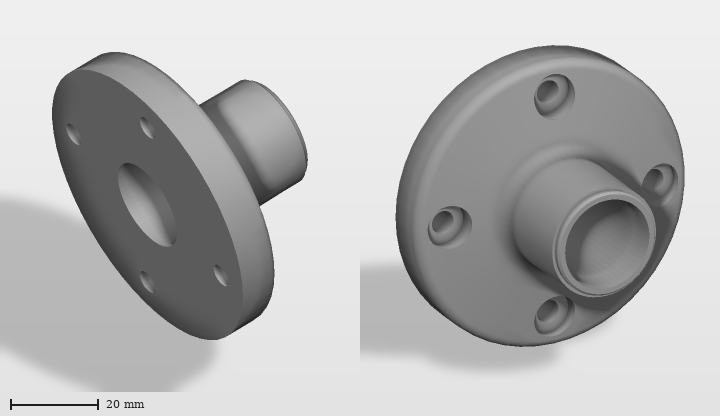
import cadquery as cq
import math

flange_radius = 35.0
rim_height = 8.0
rim_round = 2.45
cone_angle = math.radians(10)

total_length = 37.0
neck_base_y = 16.65
neck_base_radius = 13.65
neck_end_y = 35.5
neck_end_radius = 13.4
spigot_radius = 12.6
spigot_chamfer = 0.5
bore_radius = 10.85

bolt_count = 4
bolt_circle_radius = 27.0
bolt_hole_radius = 2.8
counterbore_radius = 5.25
counterbore_floor_y = rim_height


def arc_point(center, radius, angle):
    """Point on a circle in the half-section, as (distance from axis, Y)."""
    return (center[0] + radius * math.cos(angle), center[1] + radius * math.sin(angle))


def make_body():
    """Revolve the half-section around Y, with the flange face at Y = 0."""
    rim_center = (flange_radius - rim_round, rim_height)
    cone_normal = math.pi / 2 - cone_angle
    rim_mid = arc_point(rim_center, rim_round, cone_normal / 2)
    cone_outer = arc_point(rim_center, rim_round, cone_normal)

    taper = math.atan((neck_base_radius - neck_end_radius) / (neck_end_y - neck_base_y))
    neck_normal = math.pi + taper
    cone_contact = cone_normal + math.pi
    cone_gap = (
        (neck_base_radius - cone_outer[0]) * math.cos(cone_normal)
        + (neck_base_y - cone_outer[1]) * math.sin(cone_normal)
    )
    neck_round = cone_gap / (1 - math.cos(cone_contact - neck_normal))
    neck_center = arc_point((neck_base_radius, neck_base_y), -neck_round, neck_normal)
    neck_mid = arc_point(neck_center, neck_round, (neck_normal + cone_contact) / 2)
    cone_inner = arc_point(neck_center, neck_round, cone_contact)

    section = (
        cq.Workplane("XY")
        .moveTo(bore_radius, 0)
        .lineTo(flange_radius, 0)
        .lineTo(flange_radius, rim_height)
        .threePointArc(rim_mid, cone_outer)
        .lineTo(*cone_inner)
        .threePointArc(neck_mid, (neck_base_radius, neck_base_y))
        .lineTo(neck_end_radius, neck_end_y)
        .lineTo(spigot_radius, neck_end_y)
        .lineTo(spigot_radius, total_length - spigot_chamfer)
        .lineTo(spigot_radius - spigot_chamfer, total_length)
        .lineTo(bore_radius, total_length)
        .close()
    )
    return section.revolve(360, (0, 0, 0), (0, 1, 0))


def hole_cutter(x, z, radius, start_y):
    """Cylinder along +Y that starts at start_y and clears the back of the part."""
    return cq.Workplane(
        cq.Solid.makeCylinder(
            radius, total_length - start_y, cq.Vector(x, start_y, z), cq.Vector(0, 1, 0)
        )
    )


result = make_body()
for index in range(bolt_count):
    angle = 2 * math.pi * index / bolt_count
    x = bolt_circle_radius * math.cos(angle)
    z = bolt_circle_radius * math.sin(angle)
    result = result.cut(hole_cutter(x, z, bolt_hole_radius, 0))
    result = result.cut(hole_cutter(x, z, counterbore_radius, counterbore_floor_y))